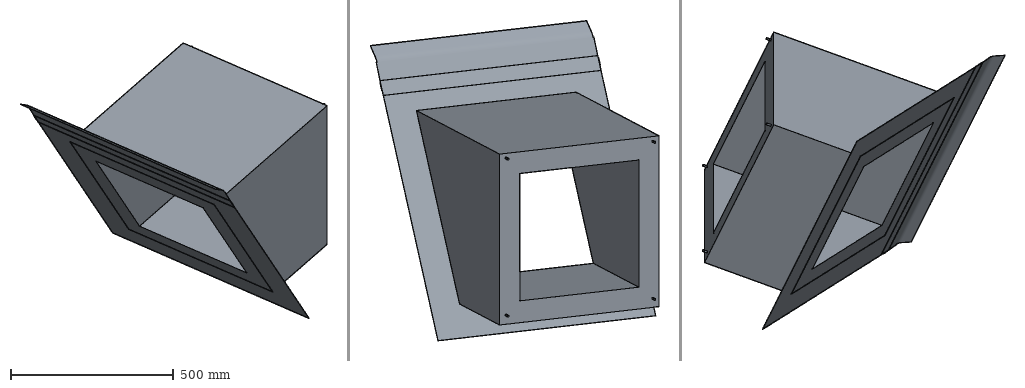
import cadquery as cq
import math

BOX_SIZE = 544.0
OPENING_SIZE = 405.0
BOX_TOP_DEPTH = 606.0
BOX_PROUD = 0.2

SHEET_ANGLE = 60.0
SHEET_THICKNESS = 1.0
SHEET_WIDTH = 742.0
SHEET_BELOW_BOX = 109.0
SHEET_ABOVE_BOX = 59.5

STRIP_LENGTH = 48.0
STRIP_PROUD = 0.2
TAB_SPAN = 745.41
TAB_LENGTH = 25.0
TAB_OFFSET = 17.0

SHOULDER_ANGLE = 62.0
SHOULDER_LENGTH = 69.0
LIP_WIDTH = 737.0
BEND_RADIUS = 45.0
TIP_DEPTH = 735.3
TIP_HEIGHT = 824.79

PIN_DIAMETER = 6.0
PIN_LENGTH = 15.0
PIN_PITCH = 500.0
PIN_RAISE = 7.0

HALF_BOX = BOX_SIZE / 2
slope = math.radians(SHEET_ANGLE)
corner_y = -BOX_TOP_DEPTH + BOX_SIZE / math.tan(slope)
box_slope_length = BOX_SIZE / math.sin(slope)
strip_start = box_slope_length + SHEET_ABOVE_BOX
strip_end = strip_start + STRIP_LENGTH


def climb(point, angle, distance):
    """Move a (Y, Z) point up a slope that rises toward -Y."""
    return point[0] - distance * math.cos(angle), point[1] + distance * math.sin(angle)


def step_back(point, angle, distance):
    """Move a (Y, Z) point square to such a slope, toward its rear."""
    return point[0] + distance * math.sin(angle), point[1] + distance * math.cos(angle)


def on_slope(along, back):
    """(Y, Z) of a point measured up the sheet's front face from the lower duct edge, then back from it."""
    return step_back(climb((corner_y, -HALF_BOX), slope, along), slope, back)


def prism(points, width):
    """Solid with the given (Y, Z) outline, centred on X = 0."""
    return cq.Workplane("YZ").polyline(points).close().extrude(width / 2, both=True)


def slab(start, end, front, back, width):
    """Flat plate parallel to the main sheet."""
    corners = [(start, front), (end, front), (end, back), (start, back)]
    return prism([on_slope(*corner) for corner in corners], width)


def make_duct():
    front_bottom = on_slope(0, 0)
    outline = [(0, -HALF_BOX), front_bottom, (-BOX_TOP_DEPTH, HALF_BOX), (0, HALF_BOX)]
    sloped_end = slab(0, box_slope_length, -BOX_PROUD, SHEET_THICKNESS, BOX_SIZE)
    return prism(outline, BOX_SIZE).union(sloped_end)


def make_sheet():
    sheet = slab(-SHEET_BELOW_BOX, strip_end, 0, SHEET_THICKNESS, SHEET_WIDTH)
    strip_back = SHEET_THICKNESS + STRIP_PROUD
    strip = slab(strip_start, strip_end, -STRIP_PROUD, strip_back, SHEET_WIDTH)
    tab_start = strip_start + TAB_OFFSET
    tabs = slab(tab_start, tab_start + TAB_LENGTH, 0, SHEET_THICKNESS, TAB_SPAN)
    return sheet.union(strip).union(tabs)


def make_cap():
    shoulder = math.radians(SHOULDER_ANGLE)
    start = on_slope(strip_end, 0)
    bend = climb(start, shoulder, SHOULDER_LENGTH)
    tip = (-TIP_DEPTH, on_slope(-SHEET_BELOW_BOX, 0)[1] + TIP_HEIGHT)
    lip = math.atan2(tip[1] - bend[1], bend[0] - tip[0])

    half_turn = (shoulder - lip) / 2
    start_back = step_back(start, shoulder, SHEET_THICKNESS)
    bend_back = step_back(bend, shoulder - half_turn, SHEET_THICKNESS / math.cos(half_turn))
    tip_back = (tip[0], tip[1] + SHEET_THICKNESS / math.cos(lip))

    narrow_cap = prism([start, bend, tip, tip_back, bend_back, start_back], LIP_WIDTH)
    for corner, radius in ((bend, BEND_RADIUS), (bend_back, BEND_RADIUS + SHEET_THICKNESS)):
        bend_edge = cq.selectors.NearestToPointSelector((0, *corner))
        narrow_cap = narrow_cap.edges(bend_edge).fillet(radius)

    straight_end = climb(bend, shoulder, -BEND_RADIUS * math.tan(half_turn))
    straight_end_back = step_back(straight_end, shoulder, SHEET_THICKNESS)
    wide_shoulder = prism([start, straight_end, straight_end_back, start_back], SHEET_WIDTH)
    return narrow_cap.union(wide_shoulder)


def make_pins():
    return (
        cq.Workplane("XZ")
        .center(0, PIN_RAISE)
        .rect(PIN_PITCH, PIN_PITCH, forConstruction=True)
        .vertices()
        .circle(PIN_DIAMETER / 2)
        .extrude(-PIN_LENGTH)
    )


opening = cq.Workplane("XZ").rect(OPENING_SIZE, OPENING_SIZE).extrude(TIP_DEPTH)
result = make_duct().union(make_sheet()).union(make_cap()).cut(opening).union(make_pins())